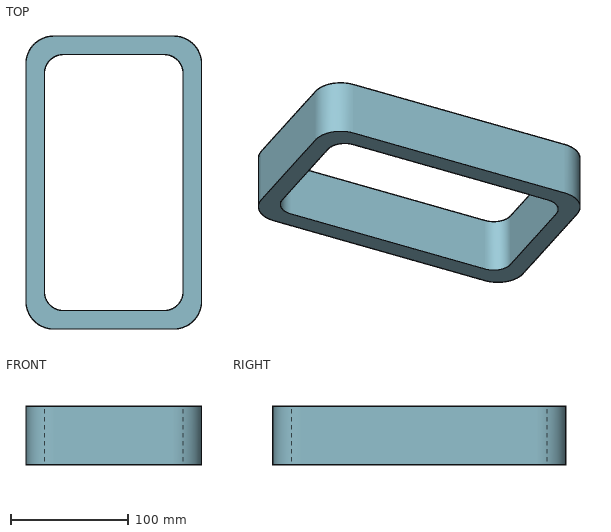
import cadquery as cq

width = 150.0
depth = 250.0
length = 50.0
wall = 16.0

outer_radius_per_wall = 1.5
outer_corner_radius = outer_radius_per_wall * wall
inner_corner_radius = wall


def rounded_block(size_x, size_y, corner_radius):
    """Block of the section length with its four vertical edges rounded."""
    block = cq.Workplane("XY").rect(size_x, size_y).extrude(length)
    return block.edges("|Z").fillet(corner_radius)


outer_body = rounded_block(width, depth, outer_corner_radius)
bore = rounded_block(width - 2 * wall, depth - 2 * wall, inner_corner_radius)

result = outer_body.cut(bore)